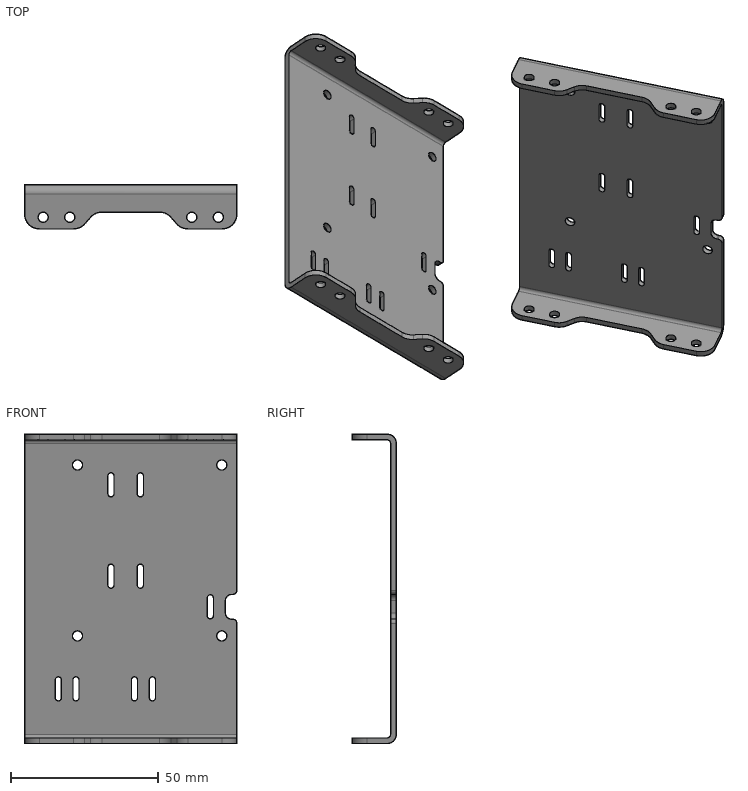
import cadquery as cq

width = 72.0
depth = 15.0
height = 105.0
sheet = 2.0
bend_inner_radius = 1.2
bend_outer_radius = bend_inner_radius + sheet

corner_radius = 5.0
relief_depth = 5.7
relief_floor_half = 12.1
relief_mouth_half = 17.1
flange_hole_x = (20.7, 29.7)
flange_hole_from_tip = 4.0

hole_diameter = 3.4
web_hole_x = (-18.1, 30.9)
web_hole_z = (-16.0, 42.0)

slot_length = 8.1
slot_width = 2.0
upper_slot_x = (-6.7, 3.3)
upper_slot_z = (4.3, 35.3)
lower_slot_x = (-24.6, -18.6, 1.3, 7.4)
lower_slot_z = -33.9
side_slot_x = 27.0
side_slot_z = -6.1

notch_depth = 3.9
notch_height = 8.3
notch_inner_radius = 2.0
notch_mouth_radius = 1.5


def channel():
    """Bent sheet: an outer block less the inside of the channel, with rounded bends."""
    outer = (
        cq.Workplane("XY")
        .box(width, depth, height)
        .translate((0, -depth / 2, 0))
        .edges("|X and >Y")
        .fillet(bend_outer_radius)
    )
    inner = (
        cq.Workplane("XY")
        .box(width, depth, height - 2 * sheet)
        .translate((0, -depth / 2 - sheet, 0))
        .edges("|X and >Y")
        .fillet(bend_inner_radius)
    )
    return outer.cut(inner)


def flange_envelope():
    """Flange outline extruded over the full height, so it trims both flanges alike."""
    half = width / 2
    relief_y = relief_depth - depth
    outline = [
        (-half, 0),
        (-half, -depth),
        (-relief_mouth_half, -depth),
        (-relief_floor_half, relief_y),
        (relief_floor_half, relief_y),
        (relief_mouth_half, -depth),
        (half, -depth),
        (half, 0),
    ]
    return (
        cq.Workplane("XY")
        .polyline(outline)
        .close()
        .extrude(height / 2, both=True)
        .edges("|Z and (not >Y)")
        .fillet(corner_radius)
    )


def flange_holes():
    """Pins along Z that pierce both flanges."""
    hole_y = flange_hole_from_tip - depth
    points = [(side * x, hole_y) for side in (-1, 1) for x in flange_hole_x]
    return cq.Workplane("XY").pushPoints(points).circle(hole_diameter / 2).extrude(height / 2, both=True)


def web_plane():
    """Sketch plane on the back of the web; an extrusion runs toward -Y."""
    return cq.Workplane("XZ")


def web_holes():
    points = [(x, z) for x in web_hole_x for z in web_hole_z]
    return web_plane().pushPoints(points).circle(hole_diameter / 2).extrude(sheet)


def web_slots():
    points = [(x, z) for x in upper_slot_x for z in upper_slot_z]
    points += [(x, lower_slot_z) for x in lower_slot_x]
    points.append((side_slot_x, side_slot_z))
    return web_plane().pushPoints(points).slot2D(slot_length, slot_width, 90).extrude(sheet)


def edge_notch():
    """Notch with rounded inner corners and a mouth that flares out in convex arcs."""
    edge = width / 2
    floor = edge - notch_depth
    half = notch_height / 2
    mouth = half + notch_mouth_radius
    mouth_start = edge - notch_mouth_radius
    floor_end = half - notch_inner_radius
    wall_start = floor + notch_inner_radius
    profile = (
        web_plane()
        .center(0, side_slot_z)
        .moveTo(edge, mouth)
        .radiusArc((mouth_start, half), notch_mouth_radius)
        .lineTo(wall_start, half)
        .radiusArc((floor, floor_end), -notch_inner_radius)
        .lineTo(floor, -floor_end)
        .radiusArc((wall_start, -half), -notch_inner_radius)
        .lineTo(mouth_start, -half)
        .radiusArc((edge, -mouth), notch_mouth_radius)
        .close()
    )
    return profile.extrude(sheet)


result = (
    channel()
    .intersect(flange_envelope())
    .cut(flange_holes())
    .cut(web_holes())
    .cut(web_slots())
    .cut(edge_notch())
)